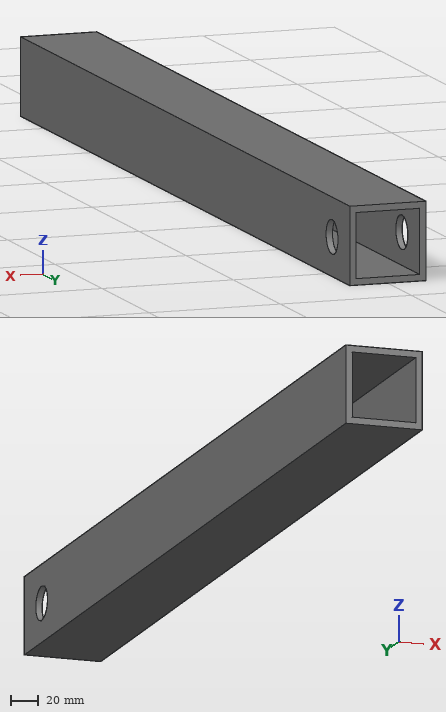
import cadquery as cq

length = 700.0
side = 58.0
wall = 5.0
hole_diameter = 25.0
hole_end_distance = 38.0

outer = cq.Workplane("XY").box(side, length, side)
bore_side = side - 2 * wall
bore = cq.Workplane("XY").box(bore_side, length, bore_side)
tube = outer.cut(bore)

hole = (
    cq.Workplane("YZ")
    .center(length / 2 - hole_end_distance, 0)
    .circle(hole_diameter / 2)
    .extrude(side, both=True)
)

result = tube.cut(hole)